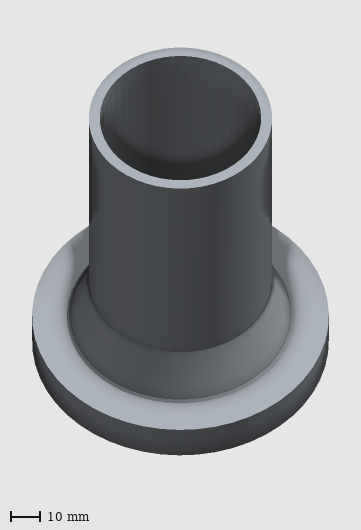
import cadquery as cq

total_height = 120.0
flange_diameter = 102.0
flange_thickness = 13.7

pipe_diameter = 63.0
bore_diameter = 55.5

neck_top_height = 32.0
neck_base_diameter = 76.3
root_size = 0.8

flange_radius = flange_diameter / 2
pipe_radius = pipe_diameter / 2
bore_radius = bore_diameter / 2
neck_base_radius = neck_base_diameter / 2

half_section = (
    cq.Workplane("XZ")
    .moveTo(-bore_radius, 0)
    .lineTo(-flange_radius, 0)
    .lineTo(-flange_radius, flange_thickness)
    .lineTo(-neck_base_radius - root_size, flange_thickness)
    .lineTo(-neck_base_radius, flange_thickness + root_size)
    .lineTo(-pipe_radius, neck_top_height)
    .lineTo(-pipe_radius, total_height)
    .lineTo(-bore_radius, total_height)
    .close()
)

result = half_section.revolve(360, (0, 0), (0, 1))